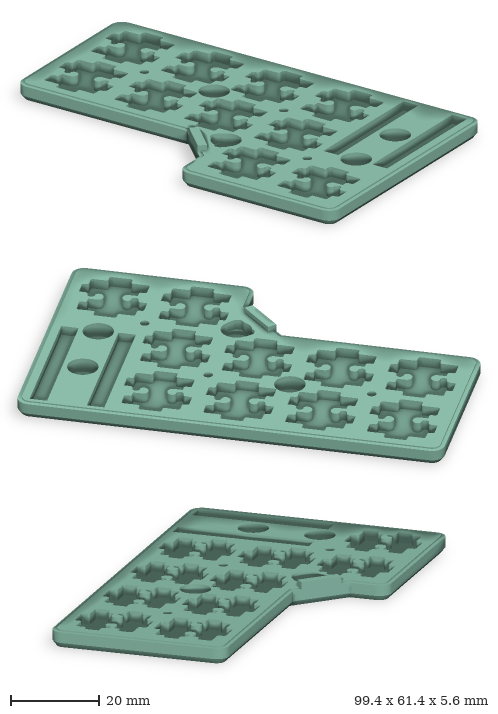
import cadquery as cq
import math


length = 99.4
width = 61.4
grid_span = 76.1
pitch = grid_span / 4
key_inset = (length - grid_span) / 2
socket_depth = 2.5
socket_corner_radius = 0.5

plate_height = 4.1
corner_radius = 3.0
chamfer_height = 1.3
chamfer_inset = 1.0
rim_width = 1.0
rim_drop = 0.3
wing_width = 2 * key_inset + pitch
thumb_left = 57.1
diagonal_run = 10.1

tab_length = 10.0
tab_depth = 2.2
tab_top = 5.6

screw_hole_diameter = 2.2
magnet_diameter = 7.2
magnet_depth = 3.5
magnet_spacing = 16.0

slot_width = 4.1
slot_length = 32.8
slot_depth = 2.3
slot_offset = 6.7
slot_end_gap = 2.0

tab_magnet_distance = 7.6
notch_diameter = 8.5
notch_span = 7.5
notch_depth = 2.5
notch_front = 3.2

wing_front = width - wing_width
diagonal_start = (thumb_left - diagonal_run, wing_front)
diagonal_end = (thumb_left, wing_front - diagonal_run)
diagonal_middle = (thumb_left - diagonal_run / 2, wing_front - diagonal_run / 2)


def grid_point(column, row):
    """Plan position of a grid place; rows count towards -Y."""
    return (key_inset + column * pitch, width - key_inset - row * pitch)


def make_plate():
    """Plate with rounded corners, tapered underside and a lowered rim around the top."""
    rounded_corners = [(0, wing_front), (0, width), (length, width), (length, 0), (thumb_left, 0)]
    outline = rounded_corners + [diagonal_end, diagonal_start]
    rim_height = plate_height - rim_drop
    body = cq.Workplane("XY").polyline(outline).close().extrude(rim_height)
    for x, y in rounded_corners:
        body = body.edges(cq.NearestToPointSelector((x, y, rim_height / 2))).fillet(corner_radius)
    raised_top = body.faces(">Z").wires().toPending().offset2D(-rim_width).extrude(rim_drop, combine=False)
    chamfered = body.faces("<Z").edges().chamfer(chamfer_inset, chamfer_height)
    return chamfered.union(raised_top)


def on_diagonal(shape):
    """Move a shape made at the origin, with +Y as inward direction, to the middle of the diagonal edge."""
    return shape.rotate((0, 0, 0), (0, 0, 1), -45).translate((*diagonal_middle, 0))


def make_tab():
    """Block along the diagonal edge, its outer face flush with the plate's wall."""
    block = cq.Workplane("XY").workplane(offset=chamfer_height)
    block = block.rect(tab_length, tab_depth).extrude(tab_top - chamfer_height)
    return on_diagonal(block.translate((0, tab_depth / 2, 0)))


def make_socket_cutter():
    """Key socket pocket; its outline repeats itself after half a turn about the key centre."""
    end_x, end_y = 2.7, 8.6
    shoulder_y = 6.9
    ear_x, ear_y = 7.1, 3.4
    step_x, step_y = 5.4, 1.8
    post_x, post_left = 3.4, 2.1
    wave = 0.84
    arm_x, arm_y = 8.2, 4.4
    flank_x = 6.7
    corner_clearance = 0.1

    post_middle_y = (step_y - wave) / 2
    bend = wave * math.sqrt(0.5)
    wave_middle_x = post_x + wave
    crest_x = wave_middle_x + wave
    fall_x = crest_x + wave
    wave_end_x = fall_x + wave

    outline = cq.Workplane("XY").moveTo(-end_x, end_y)
    for side in (1, -1):
        upper = [(end_x, end_y), (end_x, shoulder_y), (ear_x, shoulder_y), (ear_x, ear_y),
                 (step_x, ear_y), (step_x, step_y), (post_x, step_y)]
        arcs = [
            ((post_left, post_middle_y), (post_x, -wave)),
            ((post_x + bend, -bend), (wave_middle_x, 0)),
            ((crest_x, wave), (fall_x, 0)),
            ((wave_end_x - bend, -bend), (wave_end_x, -wave)),
        ]
        lower = [(arm_x, -wave), (arm_x, -arm_y), (flank_x, -arm_y), (flank_x, -shoulder_y),
                 (end_x, -shoulder_y), (end_x, -end_y)]
        for x, y in upper:
            outline = outline.lineTo(side * x, side * y)
        for (through_x, through_y), (x, y) in arcs:
            outline = outline.threePointArc((side * through_x, side * through_y), (side * x, side * y))
        for x, y in lower:
            outline = outline.lineTo(side * x, side * y)
    cutter = outline.close().extrude(socket_depth)
    corners = cutter.edges("|Z").filter(lambda edge: abs(edge.Center().y) > step_y + corner_clearance)
    return corners.fillet(socket_corner_radius).translate((0, 0, plate_height - socket_depth))


def top_plane(depth):
    """Work plane at the given depth below the plate's top."""
    return cq.Workplane("XY").workplane(offset=plate_height - depth)


def make_tab_magnet_cutter():
    """Magnet hole whose side notches are what is left of a wider, shallower disc trimmed to a rectangle."""
    hole = top_plane(magnet_depth).circle(magnet_diameter / 2).extrude(magnet_depth)
    disc = top_plane(notch_depth).circle(notch_diameter / 2).extrude(notch_depth)
    trim = top_plane(notch_depth).center(0, -notch_front / 2)
    trim = trim.rect(notch_span, notch_front).extrude(notch_depth)
    cutter = hole.union(disc.intersect(trim))
    return on_diagonal(cutter.translate((0, tab_magnet_distance, 0)))


result = make_plate().union(make_tab())

socket = make_socket_cutter()
key_places = [(column, row) for row in (0, 1) for column in range(4)] + [(3, 2), (4, 2)]
for column, row in key_places:
    result = result.cut(socket.translate((*grid_point(column, row), 0)))

screw_points = [grid_point(0.5, 0.5), grid_point(2.5, 0.5), grid_point(3.5, 1.5)]
result = result.cut(
    cq.Workplane("XY").pushPoints(screw_points).circle(screw_hole_diameter / 2).extrude(plate_height)
)

slot_middle_x = grid_point(4, 0)[0]
slot_middle_y = width - slot_end_gap - slot_length / 2
slots = top_plane(slot_depth).pushPoints(
    [(slot_middle_x - slot_offset, slot_middle_y), (slot_middle_x + slot_offset, slot_middle_y)]
)
result = result.cut(slots.rect(slot_width, slot_length).extrude(slot_depth))

magnet_points = [
    grid_point(1.5, 0.5),
    (slot_middle_x, slot_middle_y),
    (slot_middle_x, slot_middle_y - magnet_spacing),
]
magnets = top_plane(magnet_depth).pushPoints(magnet_points)
result = result.cut(magnets.circle(magnet_diameter / 2).extrude(magnet_depth))
result = result.cut(make_tab_magnet_cutter())